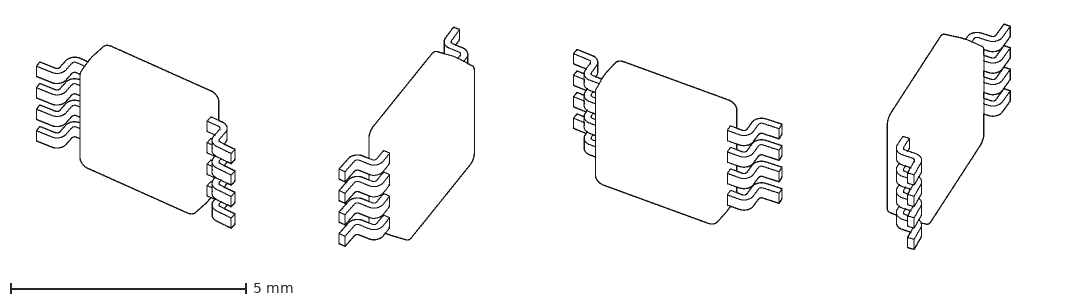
import cadquery as cq
import math

OVERALL_LENGTH = 4.91
OVERALL_DEPTH = 1.1

PACKAGE_SIDE = 3.0
PACKAGE_DEPTH = 0.953
CORNER_RADIUS = 0.25
DRAFT_ANGLE = 5.5
FACE_FILLET = 0.05

LEADS_PER_SIDE = 4
LEAD_PITCH = 0.65
LEAD_WIDTH = 0.31
LEAD_THICKNESS = 0.15
BEND_RADIUS = 0.075
LEG_SETBACK = 0.445
FOOT_TILT = 2.5

HALF_SIDE = PACKAGE_SIDE / 2
HALF_THICKNESS = LEAD_THICKNESS / 2
BAND_DEPTH = LEAD_THICKNESS
DRAFTED_DEPTH = (PACKAGE_DEPTH - BAND_DEPTH) / 2
OUTER_BEND_RADIUS = BEND_RADIUS + LEAD_THICKNESS
LOWEST_Y = PACKAGE_DEPTH / 2 - OVERALL_DEPTH


def package_slab(start_y, height, taper=0):
    """Rounded square extruded along Y from start_y; a negative height runs towards -Y."""
    square = cq.Sketch().rect(PACKAGE_SIDE, PACKAGE_SIDE).vertices().fillet(CORNER_RADIUS)
    plane = cq.Workplane("XZ", origin=(0, start_y, 0))
    return plane.placeSketch(square).extrude(-height, taper=taper)


def make_package():
    band = package_slab(-BAND_DEPTH / 2, BAND_DEPTH)
    top_half = package_slab(BAND_DEPTH / 2, DRAFTED_DEPTH, DRAFT_ANGLE)
    bottom_half = package_slab(-BAND_DEPTH / 2, -DRAFTED_DEPTH, DRAFT_ANGLE)
    package = band.union(top_half).union(bottom_half)
    return package.faces("<Y or >Y").edges().fillet(FACE_FILLET)


def polar_point(centre, radius, degrees):
    angle = math.radians(degrees)
    return (centre[0] + radius * math.cos(angle), centre[1] + radius * math.sin(angle))


def make_lead():
    """Lead on the +X side, centred on Z = 0, ending flush against the package band."""
    tilt = math.radians(FOOT_TILT)
    tip_x = OVERALL_LENGTH / 2
    leg_outer_x = tip_x - LEG_SETBACK

    lower_centre_x = leg_outer_x + BEND_RADIUS
    foot_length = (tip_x - lower_centre_x + BEND_RADIUS * math.sin(tilt)) / math.cos(tilt)
    foot_run = foot_length * math.cos(tilt)
    foot_drop = foot_length * math.sin(tilt)
    lower_centre_y = LOWEST_Y + foot_drop + OUTER_BEND_RADIUS * math.cos(tilt)

    upper_centre = (leg_outer_x - OUTER_BEND_RADIUS, HALF_THICKNESS - OUTER_BEND_RADIUS)
    lower_centre = (lower_centre_x, lower_centre_y)

    foot_angle = 270 - FOOT_TILT
    lower_middle = (180 + foot_angle) / 2

    outline = (
        cq.Workplane("XY", origin=(0, 0, -LEAD_WIDTH / 2))
        .moveTo(HALF_SIDE, HALF_THICKNESS)
        .lineTo(*polar_point(upper_centre, OUTER_BEND_RADIUS, 90))
        .threePointArc(
            polar_point(upper_centre, OUTER_BEND_RADIUS, 45),
            polar_point(upper_centre, OUTER_BEND_RADIUS, 0),
        )
        .lineTo(*polar_point(lower_centre, BEND_RADIUS, 180))
        .threePointArc(
            polar_point(lower_centre, BEND_RADIUS, lower_middle),
            polar_point(lower_centre, BEND_RADIUS, foot_angle),
        )
        .line(foot_run, -foot_drop)
        .line(-LEAD_THICKNESS * math.sin(tilt), -LEAD_THICKNESS * math.cos(tilt))
        .lineTo(*polar_point(lower_centre, OUTER_BEND_RADIUS, foot_angle))
        .threePointArc(
            polar_point(lower_centre, OUTER_BEND_RADIUS, lower_middle),
            polar_point(lower_centre, OUTER_BEND_RADIUS, 180),
        )
        .lineTo(*polar_point(upper_centre, BEND_RADIUS, 0))
        .threePointArc(
            polar_point(upper_centre, BEND_RADIUS, 45),
            polar_point(upper_centre, BEND_RADIUS, 90),
        )
        .lineTo(HALF_SIDE, -HALF_THICKNESS)
        .close()
    )
    return outline.extrude(LEAD_WIDTH)


def make_leads():
    right_lead = make_lead()
    left_lead = right_lead.mirror("YZ")
    lowest_z = -LEAD_PITCH * (LEADS_PER_SIDE - 1) / 2
    leads = []
    for row in range(LEADS_PER_SIDE):
        row_z = lowest_z + row * LEAD_PITCH
        for lead in (left_lead, right_lead):
            leads.append(lead.translate((0, 0, row_z)).val())
    return leads


package = make_package()
leads = make_leads()

result = cq.Compound.makeCompound([package.val(), *leads])